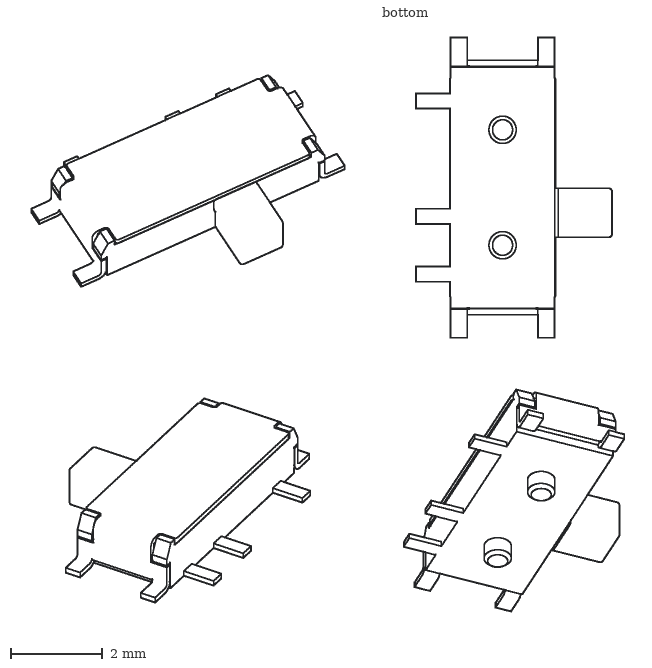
import cadquery as cq
import math

LENGTH = 6.55
BODY_LENGTH = 5.555
BODY_WIDTH = 2.27
BODY_HEIGHT = 1.185

SHEET = 0.13
SEAT_GAP = 0.02
COVER_BEND = 0.17
COVER_OVERHANG = 0.02
WALL_BOTTOM = 0.185
LEG_WIDTH = 0.37
LEG_BEND = 0.08
PLATE_CORNER = 0.06

POST_WIDTH = 0.37
POST_LENGTH = 0.335
POST_BOTTOM = 0.675
POST_CORNER = 0.03
POST_CHAMFER_RUN = COVER_BEND
POST_CHAMFER_DROP = 0.34
NOTCH_GAP = 0.04

PITCH = 1.26
TERMINAL_ROWS = (-1.5, 0.5, 1.5)
TERMINAL_REACH = 0.75
TERMINAL_WIDTH = 0.335
TERMINAL_THICKNESS = 0.125
PEG_DIAMETER = 0.595
PEG_LENGTH = 0.41
PEG_CHAMFER = 0.08

KNOB_REACH = 1.25
KNOB_WIDTH = 1.075
KNOB_CENTER_Y = 0.55
KNOB_TOP = 1.04
KNOB_BOTTOM = 0.08
KNOB_FILLET = 0.08
NECK_BOTTOM = 0.695
NECK_LENGTH = 0.08

HALF_LENGTH = LENGTH / 2
HALF_BODY_LENGTH = BODY_LENGTH / 2
HALF_WIDTH = BODY_WIDTH / 2
RECESS = SHEET + SEAT_GAP
CORE_LENGTH = BODY_LENGTH - 2 * RECESS
CORE_HEIGHT = BODY_HEIGHT - RECESS
PLATE_WIDTH = BODY_WIDTH + 2 * COVER_OVERHANG
NOTCH_LENGTH = POST_LENGTH + NOTCH_GAP
NOTCH_BOTTOM = POST_BOTTOM - NOTCH_GAP
CORNERS = [(sx, sy) for sx in (-1, 1) for sy in (-1, 1)]


def block(x_range, y_range, z_range):
    """Box between a lower and an upper limit along each axis."""
    limits = (x_range, y_range, z_range)
    size = [high - low for low, high in limits]
    corner = tuple(low for low, high in limits)
    return cq.Workplane("XY").box(*size, centered=False).translate(corner)


def mirrored(shape, side_x, side_y):
    """Move a shape built in the +X +Y corner to the corner with the given signs."""
    if side_x < 0:
        shape = shape.mirror("YZ")
    if side_y < 0:
        shape = shape.mirror("XZ")
    return shape


def corner_column(x_range, length, bottom, radius):
    """Upright block at the +X +Y end of the body, its innermost vertical edge rounded."""
    column = block(x_range, (HALF_BODY_LENGTH - length, HALF_BODY_LENGTH), (bottom, BODY_HEIGHT))
    return column.edges("|Z and <X and <Y").fillet(radius)


def make_post(side_x, side_y):
    """Corner post that fills the recess up to the top, with a steep chamfer on its end."""
    post = corner_column((HALF_WIDTH - POST_WIDTH, HALF_WIDTH), POST_LENGTH, POST_BOTTOM, POST_CORNER)
    chamfer = (
        cq.Workplane("YZ")
        .moveTo(HALF_BODY_LENGTH, BODY_HEIGHT)
        .lineTo(HALF_BODY_LENGTH - POST_CHAMFER_RUN, BODY_HEIGHT)
        .lineTo(HALF_BODY_LENGTH, BODY_HEIGHT - POST_CHAMFER_DROP)
        .close()
        .extrude(HALF_WIDTH)
    )
    return mirrored(post.cut(chamfer), side_x, side_y)


def make_peg(y):
    """Round locating peg under the base with a chamfered tip."""
    peg = cq.Workplane("XY").circle(PEG_DIAMETER / 2).extrude(-PEG_LENGTH)
    return peg.faces("<Z").chamfer(PEG_CHAMFER).translate((0, y, 0))


def make_terminal(y):
    """Flat terminal reaching out of the -X side of the base."""
    return block(
        (-HALF_WIDTH - TERMINAL_REACH, -HALF_WIDTH),
        (y - TERMINAL_WIDTH / 2, y + TERMINAL_WIDTH / 2),
        (0, TERMINAL_THICKNESS),
    )


def make_knob():
    """Slider knob on the +X side, hanging down in front of the base."""
    y_range = (KNOB_CENTER_Y - KNOB_WIDTH / 2, KNOB_CENTER_Y + KNOB_WIDTH / 2)
    knob = block((HALF_WIDTH, HALF_WIDTH + KNOB_REACH), y_range, (KNOB_BOTTOM, KNOB_TOP))
    knob = knob.edges("|X or >X").fillet(KNOB_FILLET)
    space = block((HALF_WIDTH, HALF_WIDTH + NECK_LENGTH), y_range, (KNOB_BOTTOM, NECK_BOTTOM))
    return knob.cut(space)


def make_base():
    """Base with its corner posts, terminals, pegs and slider knob."""
    base = cq.Workplane("XY").box(BODY_WIDTH, CORE_LENGTH, CORE_HEIGHT, centered=(True, True, False))
    for side_x, side_y in CORNERS:
        base = base.union(make_post(side_x, side_y))
    for row in TERMINAL_ROWS:
        base = base.union(make_terminal(row * PITCH))
    for side in (-1, 1):
        base = base.union(make_peg(side * PITCH))
    return base.union(make_knob())


def make_shell():
    """Top plate and both end walls as one bent strip, as wide as the top plate."""
    outside = cq.Workplane("XY").box(PLATE_WIDTH, BODY_LENGTH, BODY_HEIGHT, centered=(True, True, False))
    outside = outside.edges("|X and >Z").fillet(COVER_BEND)
    inside = cq.Workplane("XY").box(
        PLATE_WIDTH, BODY_LENGTH - 2 * SHEET, BODY_HEIGHT - SHEET, centered=(True, True, False)
    )
    inside = inside.edges("|X and >Z").fillet(COVER_BEND - SHEET)
    below = cq.Workplane("XY").box(PLATE_WIDTH, BODY_LENGTH, WALL_BOTTOM, centered=(True, True, False))
    return outside.cut(inside).cut(below)


def make_leg(side_x, side_y):
    """Leg that continues an end wall down and bends outward along the base underside."""
    bend_y = HALF_BODY_LENGTH + LEG_BEND
    bend_z = SHEET + LEG_BEND
    outer_radius = SHEET + LEG_BEND
    diagonal = math.sqrt(0.5)
    leg = (
        cq.Workplane("YZ", origin=(HALF_WIDTH - LEG_WIDTH, 0, 0))
        .moveTo(HALF_BODY_LENGTH, NOTCH_BOTTOM)
        .lineTo(HALF_BODY_LENGTH, bend_z)
        .threePointArc((bend_y - LEG_BEND * diagonal, bend_z - LEG_BEND * diagonal), (bend_y, SHEET))
        .lineTo(HALF_LENGTH, SHEET)
        .lineTo(HALF_LENGTH, 0)
        .lineTo(bend_y, 0)
        .threePointArc(
            (bend_y - outer_radius * diagonal, bend_z - outer_radius * diagonal),
            (HALF_BODY_LENGTH - SHEET, bend_z),
        )
        .lineTo(HALF_BODY_LENGTH - SHEET, NOTCH_BOTTOM)
        .close()
        .extrude(LEG_WIDTH)
    )
    return mirrored(leg, side_x, side_y)


def make_notch(side_x, side_y):
    """Space around a corner post, plus the strip that trims the end wall to the base width."""
    x_range = (HALF_WIDTH - POST_WIDTH - NOTCH_GAP, PLATE_WIDTH / 2)
    notch = corner_column(x_range, NOTCH_LENGTH, NOTCH_BOTTOM, POST_CORNER + NOTCH_GAP)
    trim = block(
        (HALF_WIDTH, PLATE_WIDTH / 2), (HALF_BODY_LENGTH - NOTCH_LENGTH, HALF_BODY_LENGTH), (0, NOTCH_BOTTOM)
    )
    return mirrored(notch.union(trim), side_x, side_y)


def make_cover():
    """Bent sheet cover, notched around the corner posts, with four legs."""
    cover = make_shell()
    for side_x, side_y in CORNERS:
        cover = cover.cut(make_notch(side_x, side_y))
    cover = cover.edges("|Z").edges("<X or >X").fillet(PLATE_CORNER)
    for side_x, side_y in CORNERS:
        cover = cover.union(make_leg(side_x, side_y))
    return cover


base = make_base()
cover = make_cover()

result = cq.Compound.makeCompound([base.solids().val(), cover.solids().val()])